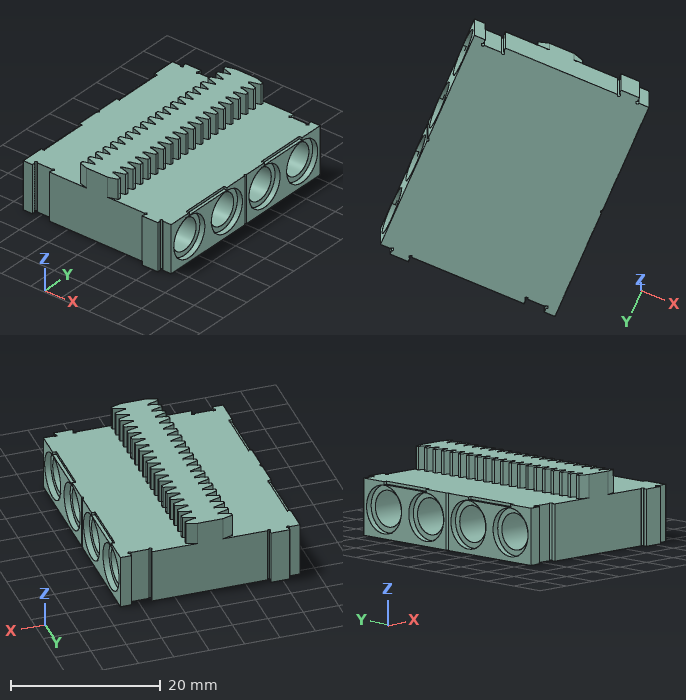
import cadquery as cq

overall_length = 33.2
body_width = 25.4
body_height = 7.8
overall_height = 11.0
tab_height = 0.73

joint_x = 9.65
tab_width = 2.7
notch_width = 2.92
notch_depth = 0.75
relief_radius = 0.2

hole_pitch = 8.0
hole_count = 4
hole_height = 4.02
bore_diameter = 5.0
counterbore_diameter = 6.6
counterbore_depth = 0.85

step_depth = 0.5
step_height = 0.4

tooth_pitch = hole_pitch / 5
tip_width = 0.45
root_width = 0.13
tip_offset = 3.25
root_offset = 1.6
tooth_gap_count = 19

body_length = overall_length - 2 * tab_height
half_length = body_length / 2
half_width = body_width / 2
hole_positions = [(i - (hole_count - 1) / 2) * hole_pitch for i in range(hole_count)]


def block(width, length, height, x, y, z):
    """Box centred on (x, y) with its underside at z."""
    return cq.Workplane("XY").box(width, length, height, centered=(True, True, False)).translate((x, y, z))


def cross_cylinders(diameter, x_start, length):
    """Cylinders along +X at every cross hole position."""
    return (
        cq.Workplane("YZ", origin=(x_start, 0, hole_height))
        .pushPoints([(y, 0) for y in hole_positions])
        .circle(diameter / 2)
        .extrude(length)
    )


def make_body():
    """Block with a tab and a notch on each end, half-turn symmetric about Z."""
    body = block(body_width, body_length, body_height, 0, 0, 0)
    relief_points = []
    for end in (1, -1):
        face_y = end * half_length
        tab_x = -end * joint_x
        notch_x = end * joint_x
        body = body.union(block(tab_width, 2 * tab_height, body_height, tab_x, face_y, 0))
        body = body.cut(block(notch_width, 2 * notch_depth, body_height, notch_x, face_y, 0))
        notch_floor_y = end * (half_length - notch_depth)
        for side in (1, -1):
            relief_points.append((tab_x + side * tab_width / 2, face_y))
            relief_points.append((notch_x + side * notch_width / 2, notch_floor_y))
        relief_points.append((end * half_width, 0))
    reliefs = cq.Workplane("XY").pushPoints(relief_points).circle(relief_radius).extrude(body_height)
    return body.cut(reliefs)


def cut_cross_holes(body):
    """Through bores, counterbored from both side faces."""
    body = body.cut(cross_cylinders(bore_diameter, -half_width, body_width))
    body = body.cut(cross_cylinders(counterbore_diameter, -half_width, counterbore_depth))
    return body.cut(cross_cylinders(counterbore_diameter, half_width - counterbore_depth, counterbore_depth))


def cut_edge_steps(body):
    """One step between the axes of each outer pair of holes, on both sides."""
    for side in (1, -1):
        for step_y in (hole_pitch, -hole_pitch):
            step = block(
                2 * step_depth, hole_pitch, step_height,
                side * half_width, step_y, body_height - step_height,
            )
            body = body.cut(step)
    return body


def make_rack():
    """Straight bar with trapezoidal tooth gaps on both long sides."""
    rack_height = overall_height - body_height
    rack = block(2 * tip_offset, body_length, rack_height, 0, 0, body_height)
    mouth = (tooth_pitch - tip_width) / 2
    root = root_width / 2
    last_gap = (tooth_gap_count + 1) // 2
    for i in range(-last_gap, last_gap + 1):
        gap_y = i * tooth_pitch
        for side in (1, -1):
            gap = (
                cq.Workplane("XY", origin=(0, gap_y, body_height))
                .polyline([
                    (side * root_offset, -root),
                    (side * tip_offset, -mouth),
                    (side * tip_offset, mouth),
                    (side * root_offset, root),
                ])
                .close()
                .extrude(rack_height)
            )
            rack = rack.cut(gap)
    return rack


result = cut_edge_steps(cut_cross_holes(make_body())).union(make_rack())